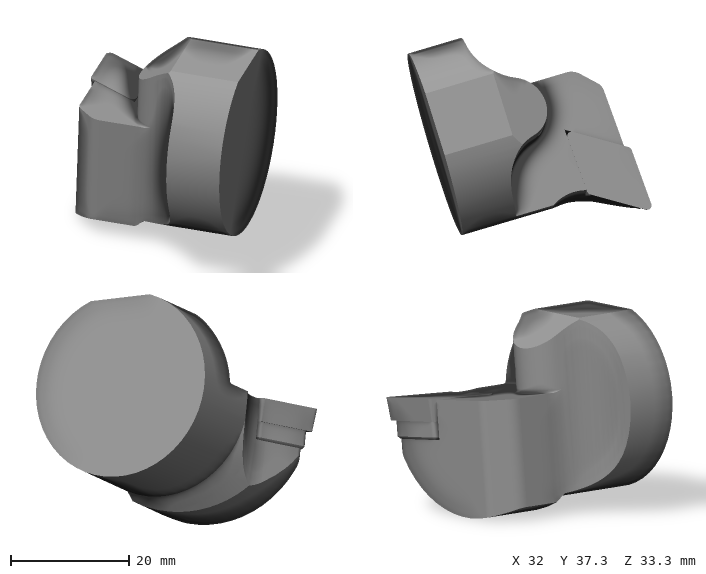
import cadquery as cq
import math

SHANK_RADIUS = 16.0
SHANK_FLAT_Z = 15.0
SLOPE_ANGLE = 35.0
CONE_START_X = -16.25
FACET_START_X = -11.98

HEAD_RADIUS = 18.25
HEAD_Y = 2.3
HEAD_LENGTH = 33.58

RAKE_ANGLE = -6.0
RAKE_FACE_W = 2.1
OVERSIZE = 26.1

CUT_ANGLE = 3.0
NOSE_ANGLE = 55.0
SLANT_ANGLE = 90.0 - CUT_ANGLE - NOSE_ANGLE
FRONT_X = -29.9
NOSE_RADIUS = 0.9
NOSE_V = 18.5
SIDE_V = -5.15
CHAMFER_END_X = -25.93
SIDE_CORNER_RADIUS = 3.0
FRONT_CORNER_RADIUS = 2.15
RELIEF_RADIUS = 7.45
RELIEF_X = -20.05

WALL_X = -9.4
WALL_RADIUS = 9.0
BULGE_RADIUS = 5.45
BULGE_FRONT_X = -19.35
FOOT_FILLET = 0.4

HOLE_DIAMETER = 2.5
HOLE_V = 3.35
HOLE_W = 5.95
HOLE_X = -17.55
HOLE_ANGLE = 30.0
HOLE_DEPTH = 8.95

INSERT_TOP_W = 2.25
INSERT_SIDE = 11.6
INSERT_THICKNESS = 3.95
INSERT_CLEARANCE = 7.0
INSERT_RADIUS = 0.75
INSERT_FRONT_X = -31.95
INSERT_TIP_V = 21.2
SEAT_THICKNESS = 3.15
SEAT_INSET = 0.67
SEAT_RADIUS = 0.8
SEAT_CHAMFER = 0.45


def tilt(shape):
    """Turn a shape from the X, v, w frame into X, Y, Z."""
    return shape.rotate((0, 0, 0), (1, 0, 0), RAKE_ANGLE)


def polar(center, radius, angle):
    """Point at a radius and an angle (degrees from X) about a centre."""
    a = math.radians(angle)
    return center[0] + radius * math.cos(a), center[1] + radius * math.sin(a)


def make_blank():
    shank = cq.Workplane("YZ").circle(SHANK_RADIUS).extrude(CONE_START_X)
    cone_end_x = CONE_START_X - HEAD_LENGTH
    cone_end_radius = SHANK_RADIUS + HEAD_LENGTH * math.tan(math.radians(SLOPE_ANGLE))
    cone = (
        cq.Workplane("XY")
        .polyline([
            (CONE_START_X, 0),
            (CONE_START_X, SHANK_RADIUS),
            (cone_end_x, cone_end_radius),
            (cone_end_x, 0),
        ])
        .close()
        .revolve(360, (0, 0, 0), (1, 0, 0))
    )
    head = (
        cq.Workplane("YZ").center(HEAD_Y, 0).circle(HEAD_RADIUS)
        .extrude(-HEAD_LENGTH)
    )
    return shank.union(cone.intersect(head))


def make_outline_prism():
    """Prism of the outline that trims the nose, front, side and relief."""
    front_slope = math.tan(math.radians(CUT_ANGLE))
    nose_x = FRONT_X - NOSE_V * front_slope + NOSE_RADIUS / math.cos(math.radians(CUT_ANGLE))
    nose = (nose_x, NOSE_V)
    slant_normal = 90.0 - SLANT_ANGLE
    relief_v = (
        NOSE_V
        - (RELIEF_X - nose_x) * math.tan(math.radians(SLANT_ANGLE))
        + (NOSE_RADIUS + RELIEF_RADIUS) / math.cos(math.radians(SLANT_ANGLE))
    )
    relief = (RELIEF_X, relief_v)
    corner_v = (CHAMFER_END_X - FRONT_X + SIDE_V) / (1 - front_slope)
    corner = (FRONT_X - corner_v * front_slope, corner_v)
    wall_start_x = WALL_X - WALL_RADIUS
    wall_center = (wall_start_x, SIDE_V - WALL_RADIUS)

    prism = (
        cq.Workplane("XY", origin=(0, 0, -OVERSIZE))
        .moveTo(*polar(nose, NOSE_RADIUS, 180 + CUT_ANGLE))
        .threePointArc(
            polar(nose, NOSE_RADIUS, 120),
            polar(nose, NOSE_RADIUS, slant_normal),
        )
        .lineTo(*polar(relief, RELIEF_RADIUS, 180 + slant_normal))
        .threePointArc(
            polar(relief, RELIEF_RADIUS, 270),
            (RELIEF_X + RELIEF_RADIUS, relief_v),
        )
        .lineTo(RELIEF_X + RELIEF_RADIUS, OVERSIZE)
        .lineTo(0, OVERSIZE)
        .lineTo(0, -OVERSIZE)
        .lineTo(WALL_X, -OVERSIZE)
        .lineTo(WALL_X, wall_center[1])
        .threePointArc(polar(wall_center, WALL_RADIUS, 45), (wall_start_x, SIDE_V))
        .lineTo(CHAMFER_END_X, SIDE_V)
        .lineTo(*corner)
        .close()
        .extrude(2 * OVERSIZE)
    )
    rounded_corners = [
        ((CHAMFER_END_X, SIDE_V), SIDE_CORNER_RADIUS),
        (corner, FRONT_CORNER_RADIUS),
    ]
    for (x, v), radius in rounded_corners:
        prism = prism.edges(cq.selectors.NearestToPointSelector((x, v, 0))).fillet(radius)
    return prism


def make_rake_clearance():
    """Space above the rake face, in front of the bulged wall."""
    hollow_x = WALL_X - WALL_RADIUS
    low_center = (hollow_x, SIDE_V - WALL_RADIUS)
    bulge_x = BULGE_FRONT_X + BULGE_RADIUS
    reach = WALL_RADIUS + BULGE_RADIUS
    rise = math.sqrt(reach**2 - (bulge_x - hollow_x) ** 2)
    bulge = (bulge_x, low_center[1] + rise)
    high_center = (hollow_x, bulge[1] + rise)
    lean = math.degrees(math.atan2(rise, bulge_x - hollow_x))

    space = (
        cq.Workplane("XY", origin=(0, 0, RAKE_FACE_W))
        .moveTo(-HEAD_LENGTH, -OVERSIZE)
        .lineTo(WALL_X, -OVERSIZE)
        .lineTo(WALL_X, low_center[1])
        .threePointArc(
            polar(low_center, WALL_RADIUS, lean / 2),
            polar(low_center, WALL_RADIUS, lean),
        )
        .threePointArc(
            (BULGE_FRONT_X, bulge[1]),
            polar(high_center, WALL_RADIUS, -lean),
        )
        .threePointArc(
            polar(high_center, WALL_RADIUS, -lean / 2),
            (WALL_X, high_center[1]),
        )
        .lineTo(WALL_X, OVERSIZE)
        .lineTo(-HEAD_LENGTH, OVERSIZE)
        .close()
        .extrude(OVERSIZE)
    )
    return space.faces("<Z").edges().fillet(FOOT_FILLET)


def make_top_cut():
    """Space above the shank flat and the sloped facet in front of it."""
    drop = (HEAD_LENGTH + FACET_START_X) * math.tan(math.radians(SLOPE_ANGLE))
    return (
        cq.Workplane("XZ")
        .polyline([
            (0, SHANK_FLAT_Z),
            (FACET_START_X, SHANK_FLAT_Z),
            (-HEAD_LENGTH, SHANK_FLAT_Z - drop),
            (-HEAD_LENGTH, OVERSIZE),
            (0, OVERSIZE),
        ])
        .close()
        .extrude(OVERSIZE, both=True)
    )


def make_coolant_hole():
    a = math.radians(HOLE_ANGLE)
    plane = cq.Plane(
        origin=(HOLE_X, HOLE_V, HOLE_W),
        xDir=(0, 0, 1),
        normal=(math.cos(a), -math.sin(a), 0),
    )
    start = cq.Workplane(plane).workplane(offset=-BULGE_RADIUS)
    return start.circle(HOLE_DIAMETER / 2).extrude(BULGE_RADIUS + HOLE_DEPTH)


def rhombus(inset):
    """Sharp insert outline, moved inward on every side by an inset."""
    half = NOSE_ANGLE / 2
    axis_angle = -(SLANT_ANGLE + half)
    tip_arc_center = (INSERT_FRONT_X + INSERT_RADIUS, INSERT_TIP_V - INSERT_RADIUS)
    tip_offset = INSERT_RADIUS / math.sin(math.radians(half))
    sharp_tip = polar(tip_arc_center, -tip_offset, axis_angle)
    middle = polar(sharp_tip, INSERT_SIDE * math.cos(math.radians(half)), axis_angle)
    side = INSERT_SIDE - 2 * inset / math.sin(math.radians(NOSE_ANGLE))
    long_half = side * math.cos(math.radians(half))
    short_half = side * math.sin(math.radians(half))
    corners = [
        polar(middle, -long_half, axis_angle),
        polar(middle, short_half, axis_angle + 90),
        polar(middle, long_half, axis_angle),
        polar(middle, -short_half, axis_angle + 90),
    ]
    return cq.Sketch().polygon(corners + corners[:1])


def extrude_down(outline, top_w, thickness, taper=0.0):
    base = cq.Workplane("XY", origin=(0, 0, top_w))
    return base.placeSketch(outline).extrude(-thickness, taper=taper)


def make_insert():
    blade_outline = rhombus(0).vertices().fillet(INSERT_RADIUS)
    blade = extrude_down(blade_outline, INSERT_TOP_W, INSERT_THICKNESS, INSERT_CLEARANCE)
    seat_outline = rhombus(SEAT_INSET).vertices().fillet(SEAT_RADIUS)
    seat = extrude_down(seat_outline, INSERT_TOP_W - INSERT_THICKNESS, SEAT_THICKNESS)
    seat = seat.faces("<Z").chamfer(SEAT_CHAMFER)
    return tilt(blade.union(seat))


def make_holder():
    pocket = extrude_down(rhombus(0), INSERT_TOP_W, INSERT_THICKNESS + SEAT_THICKNESS)
    return (
        make_blank()
        .intersect(tilt(make_outline_prism()))
        .cut(tilt(make_rake_clearance()))
        .cut(make_top_cut())
        .cut(tilt(make_coolant_hole()))
        .cut(tilt(pocket))
    )


holder = make_holder()
insert = make_insert()

result = cq.Compound.makeCompound([holder.solids().val(), insert.solids().val()])